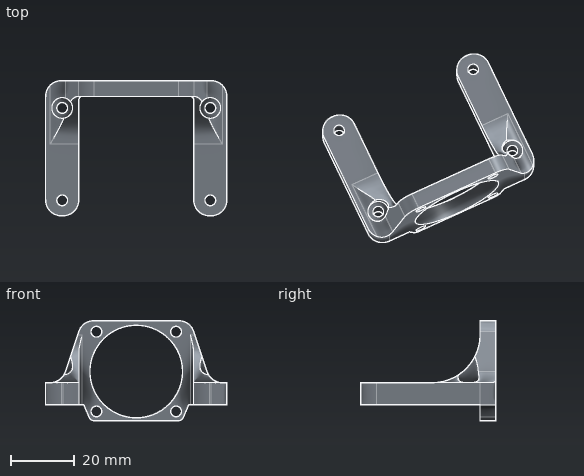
import cadquery as cq


half_width = 28.5
length = 42.5
plate_thickness = 5.0
plate_top = 16.0
plate_bottom = -15.5

arm_width = 10.5
arm_bottom = -10.5
arm_top = -3.5
arm_inner_x = half_width - arm_width
arm_axis_x = half_width - arm_width / 2

top_corner_x = 16.95
flank_foot_x = 23.4
bottom_corner_x = 14.35
bottom_flank_x = 16.5

outer_radius = 5.0
bottom_corner_radius = 2.0
inner_corner_radius = 1.0
gusset_radius = 15.0

bore_diameter = 29.0
hole_diameter = 3.3
plate_hole_spacing = 25.0
arm_hole_distances = (8.6, 37.6)
screw_head_diameter = 6.5


def mirrored_outline(right_side):
    """Close an outline by mirroring its right-hand points to the left."""
    return right_side + [(-x, other) for x, other in reversed(right_side)]


def round_corners(body, corners, radius):
    """Round the extruded edges whose midpoints are given, on both sides of the part."""
    for x, y, z in corners:
        for side in (-1, 1):
            edge = cq.selectors.NearestToPointSelector((side * x, y, z))
            body = body.edges(edge).fillet(radius)
    return body


def front_prism():
    """Sloped plate outline with the arm ends, carried along the full length."""
    right_side = [
        (bottom_corner_x, plate_bottom),
        (bottom_flank_x, arm_bottom),
        (half_width, arm_bottom),
        (half_width, arm_top),
        (flank_foot_x, arm_top),
        (top_corner_x, plate_top),
    ]
    body = cq.Workplane("XZ").polyline(mirrored_outline(right_side)).close().extrude(length)
    mid_y = -length / 2
    upper_corners = [(top_corner_x, mid_y, plate_top), (flank_foot_x, mid_y, arm_top)]
    body = round_corners(body, upper_corners, outer_radius)
    return round_corners(body, [(bottom_corner_x, mid_y, plate_bottom)], bottom_corner_radius)


def footprint_prism():
    """U-shaped footprint of the plate and both arms, carried through the full height."""
    right_side = [
        (arm_inner_x, -plate_thickness),
        (arm_inner_x, -length),
        (half_width, -length),
        (half_width, 0),
    ]
    height = plate_top - plate_bottom
    body = (
        cq.Workplane("XY", origin=(0, 0, plate_bottom))
        .polyline(mirrored_outline(right_side))
        .close()
        .extrude(height)
    )
    mid_z = plate_bottom + height / 2
    outer_corners = [
        (arm_inner_x, -length, mid_z),
        (half_width, -length, mid_z),
        (half_width, 0, mid_z),
    ]
    body = round_corners(body, outer_corners, outer_radius)
    return round_corners(body, [(arm_inner_x, -plate_thickness, mid_z)], inner_corner_radius)


def gusset_clearance():
    """Space above the arms, leaving a concave gusset tangent to the plate and arms."""
    return (
        cq.Workplane("YZ", origin=(-half_width, 0, 0))
        .moveTo(-plate_thickness, plate_top)
        .lineTo(-plate_thickness, arm_top + gusset_radius)
        .radiusArc((-plate_thickness - gusset_radius, arm_top), gusset_radius)
        .lineTo(-length, arm_top)
        .lineTo(-length, plate_top)
        .close()
        .extrude(2 * half_width)
    )


def plate_holes():
    """Central bore and four screw holes through the plate."""
    bore = cq.Workplane("XZ").circle(bore_diameter / 2).extrude(plate_thickness)
    screws = (
        cq.Workplane("XZ")
        .rect(plate_hole_spacing, plate_hole_spacing, forConstruction=True)
        .vertices()
        .circle(hole_diameter / 2)
        .extrude(plate_thickness)
    )
    return bore.union(screws)


def arm_holes():
    """Vertical screw holes through both arms."""
    points = [(side * arm_axis_x, -distance) for side in (-1, 1) for distance in arm_hole_distances]
    return (
        cq.Workplane("XY", origin=(0, 0, arm_bottom))
        .pushPoints(points)
        .circle(hole_diameter / 2)
        .extrude(arm_top - arm_bottom)
    )


def screw_head_clearance():
    """Pockets through the gussets down to the arm tops, around the rear screw holes."""
    points = [(side * arm_axis_x, -arm_hole_distances[0]) for side in (-1, 1)]
    return (
        cq.Workplane("XY", origin=(0, 0, arm_top))
        .pushPoints(points)
        .circle(screw_head_diameter / 2)
        .extrude(plate_top - arm_top)
    )


result = front_prism().intersect(footprint_prism())
for cutter in (gusset_clearance(), plate_holes(), arm_holes(), screw_head_clearance()):
    result = result.cut(cutter)